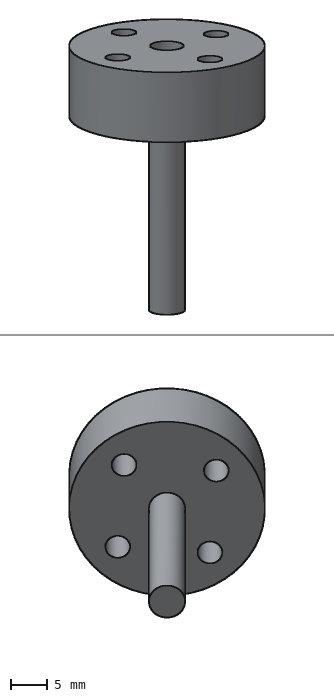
import cadquery as cq

total_height = 37.8
disc_diameter = 27.0
disc_thickness = 10.0
stem_diameter = 5.0
stem_length = total_height - disc_thickness

bore_diameter = 4.6
bore_depth = disc_thickness / 2

bolt_hole_diameter = 3.4
bolt_hole_count = 4
bolt_circle_radius = disc_diameter / 3


def make_stem():
    """Round stem standing on the XY plane."""
    return cq.Workplane("XY").circle(stem_diameter / 2).extrude(stem_length)


def make_disc():
    """Drilled disc with its underside at the top of the stem."""
    disc = (
        cq.Workplane("XY")
        .workplane(offset=stem_length)
        .circle(disc_diameter / 2)
        .extrude(disc_thickness)
    )
    disc = (
        disc.faces(">Z")
        .workplane()
        .polarArray(bolt_circle_radius, 0, 360, bolt_hole_count)
        .hole(bolt_hole_diameter)
    )
    return disc.faces(">Z").workplane().circle(bore_diameter / 2).cutBlind(-bore_depth)


result = make_disc().union(make_stem())